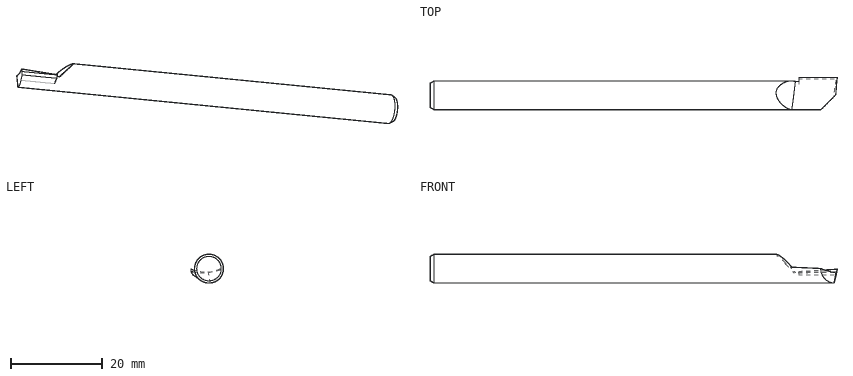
import cadquery as cq
import math

length = 88.9
radius = 6.35 / 2
back_chamfer_length = 0.87
back_chamfer_depth = 0.5

head_start = 80.5
tip_y = 3.925
tip_z = -0.1
land_bottom_z = -0.7
heel_y = 3.55
heel_z = -1.35
clearance_angle = 45.0

wheel_radius = 9.2
wheel_turn = 7.0
wheel_rise = 1.1
flank_slope = 1.04
rim_start_x = 79.55
rim_start_y = 1.53
rim_start_z = -0.96

front_relief = 10.0
front_side_angle = 3.0
corner_start = 85.25
corner_angle = 45.0

cutter_size = 40.0


def cutting_block(origin, normal):
    """Block filling the space on the normal side of a plane."""
    plane = cq.Plane(origin=origin, xDir=(0, 0, 1), normal=normal)
    return cq.Workplane(plane).rect(cutter_size, cutter_size).extrude(cutter_size)


def make_bar():
    """Round bar, chamfered at its back end."""
    profile = [
        (0, 0),
        (0, radius - back_chamfer_depth),
        (back_chamfer_length, radius),
        (length, radius),
        (length, 0),
    ]
    return cq.Workplane("XZ").polyline(profile).close().revolve(360, (0, 0, 0), (1, 0, 0))


def make_head():
    """Prism on the +Y side that carries the cutting tip."""
    angle = math.radians(clearance_angle)
    tangent_point = (radius * math.cos(angle), -radius * math.sin(angle))
    section = [
        (0, 0),
        tangent_point,
        (heel_y, heel_z),
        (tip_y, land_bottom_z),
        (tip_y, radius),
        (0, radius),
    ]
    return (
        cq.Workplane("YZ", origin=(head_start, 0, 0))
        .polyline(section)
        .close()
        .extrude(length - head_start)
    )


def make_chip_space():
    """Grinding wheel: its rim cuts the concave rake face, its flank the ramp behind it."""
    turn = math.radians(wheel_turn)
    rise = math.radians(wheel_rise)
    axis = (
        math.cos(turn) * math.cos(rise),
        -math.sin(turn) * math.cos(rise),
        math.sin(rise),
    )
    sideways = (-math.sin(turn), -math.cos(turn), 0)
    plane = cq.Plane(origin=(rim_start_x, rim_start_y, rim_start_z), xDir=axis, normal=sideways)
    profile = [
        (0, 0),
        (cutter_size, 0),
        (cutter_size, wheel_radius),
        (-wheel_radius / flank_slope, wheel_radius),
    ]
    return (
        cq.Workplane(plane)
        .polyline(profile)
        .close()
        .revolve(360, (0, wheel_radius, 0), (1, wheel_radius, 0))
    )


def make_front_cut():
    """Space ahead of the relieved end face."""
    normal = (1, -math.tan(math.radians(front_side_angle)), -math.tan(math.radians(front_relief)))
    return cutting_block((length, tip_y, tip_z), normal)


def make_corner_cut():
    """Space outside the angled corner on the -Y side."""
    angle = math.radians(corner_angle)
    return cutting_block((corner_start, -radius, 0), (math.sin(angle), -math.cos(angle), 0))


result = (
    make_bar()
    .union(make_head())
    .cut(make_chip_space())
    .cut(make_front_cut())
    .cut(make_corner_cut())
)